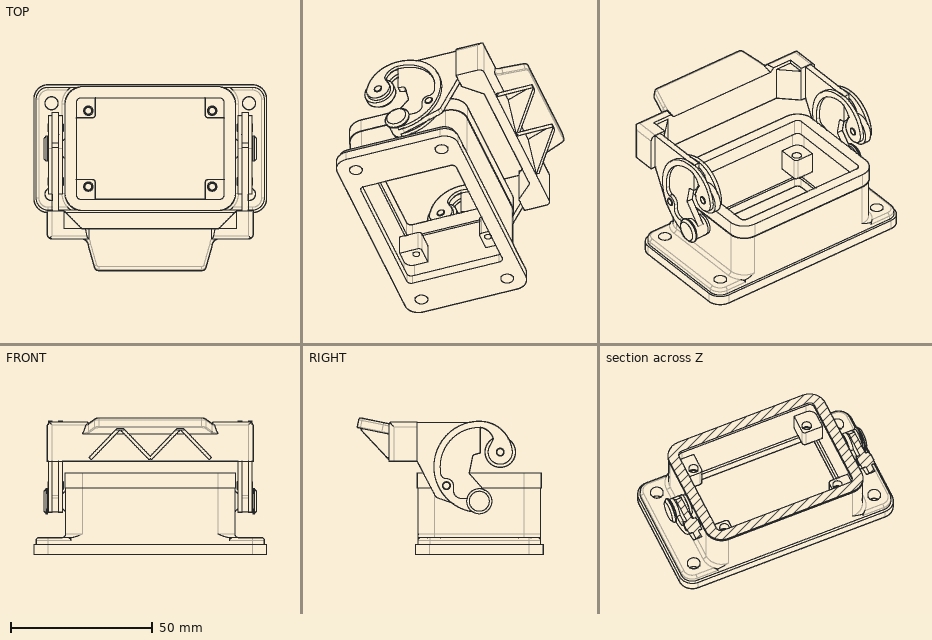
import cadquery as cq
import math

PLATE_LENGTH = 82.5
PLATE_WIDTH = 45.4
PLATE_HEIGHT = 3.6
PLATE_CORNER = 5.0

FLANGE_INSET = 0.8
FLANGE_TOP = 6.0
FLANGE_ROUND = 1.0

BODY_LENGTH = 60.1
BODY_WIDTH = 43.5
BODY_CORNER = 5.9
BODY_FOOT_RADIUS = 1.2
LIP_GROWTH = 0.25
LIP_BOTTOM = 23.5
LIP_TOP = 28.95

OPENING_LENGTH = 52.3
OPENING_WIDTH = 36.0
OPENING_CORNER = 1.65
FLOOR_OPENING_INSET = 0.1
CAVITY_UNDERCUT = 0.8
CAVITY_CORNER = 2.9
CAVITY_TOP = 23.2

POST_TOP = 17.6
POST_HEIGHT = 8.0
POST_INNER_X = 19.5
POST_INNER_Y = 10.9
POST_ROUND = 1.1
POST_HOLE_X = 21.95
POST_HOLE_Y = 13.45
POST_HOLE_DIAMETER = 2.4
POST_BORE_DIAMETER = 3.3
POST_BORE_DEPTH = 3.3

MOUNT_HOLE_X = 35.0
MOUNT_HOLE_Y = 16.1
MOUNT_HOLE_DIAMETER = 4.5

HOOK_INNER_X = 31.0
WEB_INNER_X = 32.4
WEB_OUTER_X = 34.7
WEB_TOP = 46.9
HOOK_OUTER_X = 36.05
PIN_STICK_OUT = 0.25

PIVOT = (0.0, 18.9)
PIVOT_END_RADIUS = 3.9
PIVOT_BOSS_RADIUS = 3.7
PIVOT_NECK_RADIUS = 2.7
PIVOT_HEAD_RADIUS = 4.45
PIVOT_HEAD_FACE_RADIUS = 3.55
PIVOT_HEAD_GAP = 0.4
PIVOT_HEAD_RIM = 0.4
PIVOT_HEAD_BEVEL = 0.8

KNOB = (7.4, 36.3)
KNOB_RADIUS = 4.3
ROLLER_RADIUS = 5.45
LOWER_PIN = (-11.6, 24.4)
LOWER_PIN_BOSS_RADIUS = 2.5
PIN_RADIUS = 1.4
PIN_CHAMFER = 0.21

ARC_CENTER = (0.1, 31.1)
ARC_OUTER_RADIUS = 16.2
ARC_INNER_RADIUS = 13.95
CROWN_RADIUS = 11.6

BRACKET_TOP = 47.0
BRACKET_BOTTOM = 33.0
BRACKET_HALF_LENGTH = 36.55
BRACKET_ARM_INNER_X = 30.5
BRACKET_BACK_Y = -22.0
BAR_BACK_Y = -28.3
BAR_FRONT_Y = -32.0
BRACKET_SIDE_ROUND = 1.8
BRACKET_FRONT_ROUND = 1.1
GUSSET_DROP = 1.3

GRIP_TILT = 11.6
GRIP_BACK_Z = 45.6
GRIP_THICKNESS = 3.6
GRIP_REACH = 14.6
GRIP_ROOT_HALF = 21.95
GRIP_TIP_HALF = 19.5
GRIP_FLARE = 2.6
GRIP_TIP_CORNER = 1.65
GRIP_TOP_ROUND = 0.8
GRIP_BOTTOM_ROUND = 0.3
TRENCH_FLOOR_HALF = 21.6
TRENCH_DEPTH = 2.5
TRENCH_SPREAD = 2.5

RIB_THICKNESS = 1.15
RIB_LOW_Z = 34.0
RIB_HIGH_Z = 45.05
RIB_PITCH = 10.65
RIB_OVERLAP = 0.8
RIB_FOOT_Z = 33.6
RIB_TIP_Y = -41.9
RIB_TIP_Z = 44.1

SIDES = (-1, 1)


def rounded_block(length, width, corner, bottom, top):
    """Upright block centred on Z with rounded vertical edges."""
    block = cq.Workplane("XY").workplane(offset=bottom).rect(length, width).extrude(top - bottom)
    return block.edges("|Z").fillet(corner)


def side_plate(x_start, x_end):
    """Sketch plane with local axes (Y, Z) at x_start, and the thickness up to x_end."""
    return cq.Workplane("YZ", origin=(x_start, 0, 0)), x_end - x_start


def side_disc(center, radius, x_start, x_end):
    plane, thickness = side_plate(x_start, x_end)
    return plane.center(*center).circle(radius).extrude(thickness)


def side_cone(center, x_start, start_radius, x_end, end_radius):
    """Cone frustum with its axis along X."""
    profile = cq.Workplane("XY").polyline(
        [(x_start, 0), (x_start, start_radius), (x_end, end_radius), (x_end, 0)]
    ).close()
    cone = profile.revolve(360, (0, 0, 0), (1, 0, 0))
    return cone.translate((0, center[0], center[1]))


def polar(center, radius, degrees):
    angle = math.radians(degrees)
    return (center[0] + radius * math.cos(angle), center[1] + radius * math.sin(angle))


def tangent_point(point, center, radius, turn):
    """Where the line from point touches the circle; turn (+1 or -1) picks the side."""
    dy = point[0] - center[0]
    dz = point[1] - center[1]
    swing = math.acos(radius / math.hypot(dy, dz))
    return polar(center, radius, math.degrees(math.atan2(dz, dy) + turn * swing))


def make_base():
    plate = rounded_block(PLATE_LENGTH, PLATE_WIDTH, PLATE_CORNER, 0, PLATE_HEIGHT)
    flange = rounded_block(
        PLATE_LENGTH - 2 * FLANGE_INSET, BODY_WIDTH, PLATE_CORNER - FLANGE_INSET, PLATE_HEIGHT, FLANGE_TOP
    )
    flange = flange.faces(">Z").edges().fillet(FLANGE_ROUND)
    body = rounded_block(BODY_LENGTH, BODY_WIDTH, BODY_CORNER, PLATE_HEIGHT, LIP_BOTTOM)
    lip_length = BODY_LENGTH + 2 * LIP_GROWTH
    lip_width = BODY_WIDTH + 2 * LIP_GROWTH
    lip = rounded_block(lip_length, lip_width, BODY_CORNER + LIP_GROWTH, LIP_BOTTOM, LIP_TOP)
    return plate.union(flange).union(body).union(lip).union(make_body_foot())


def make_body_foot():
    """Hollow fillet around the body where it stands on the flange, cut flush with the long sides."""
    radius = BODY_FOOT_RADIUS
    length = BODY_LENGTH + 2 * radius
    width = BODY_WIDTH + 2 * radius
    corner = BODY_CORNER + radius
    slab = rounded_block(length, width, corner, PLATE_HEIGHT, FLANGE_TOP + radius)
    path = slab.faces(">Z").wires().val()
    start = path.positionAt(0)
    tube = (
        cq.Workplane(cq.Plane(origin=start, normal=path.tangentAt(0)))
        .circle(radius)
        .sweep(cq.Workplane(obj=path))
    )
    flush = cq.Workplane("XY").box(length, BODY_WIDTH, 2 * LIP_TOP)
    return slab.cut(tube).intersect(flush)


def hollow_out(base):
    lip_opening = rounded_block(OPENING_LENGTH, OPENING_WIDTH, OPENING_CORNER, CAVITY_TOP, LIP_TOP)
    cavity_length = OPENING_LENGTH + 2 * CAVITY_UNDERCUT
    cavity_width = OPENING_WIDTH + 2 * CAVITY_UNDERCUT
    cavity = rounded_block(cavity_length, cavity_width, CAVITY_CORNER, PLATE_HEIGHT, CAVITY_TOP)
    floor_opening = rounded_block(
        OPENING_LENGTH - 2 * FLOOR_OPENING_INSET, OPENING_WIDTH - 2 * FLOOR_OPENING_INSET,
        OPENING_CORNER, 0, PLATE_HEIGHT,
    )
    hollow = base.cut(lip_opening).cut(cavity).cut(floor_opening)
    return hollow.union(make_posts(cavity_length, cavity_width).intersect(cavity))


def make_posts(cavity_length, cavity_width):
    """Four screw posts that hang in the cavity corners."""
    outer_x = cavity_length / 2
    outer_y = cavity_width / 2
    post = (
        cq.Workplane("XY", origin=(0, 0, POST_TOP - POST_HEIGHT))
        .moveTo((POST_INNER_X + outer_x) / 2, (POST_INNER_Y + outer_y) / 2)
        .rect(outer_x - POST_INNER_X, outer_y - POST_INNER_Y)
        .extrude(POST_HEIGHT)
        .edges("|Z and <X and <Y")
        .fillet(POST_ROUND)
    )
    post = (
        post.faces(">Z").workplane(origin=(POST_HOLE_X, POST_HOLE_Y, POST_TOP))
        .cboreHole(POST_HOLE_DIAMETER, POST_BORE_DIAMETER, POST_BORE_DEPTH)
    )
    pair = post.union(post.mirror("YZ"))
    return pair.union(pair.mirror("XZ"))


def cut_mount_holes(base):
    centers = [(x * MOUNT_HOLE_X, y * MOUNT_HOLE_Y) for x in SIDES for y in SIDES]
    holes = cq.Workplane("XY").pushPoints(centers).circle(MOUNT_HOLE_DIAMETER / 2).extrude(FLANGE_TOP)
    return base.cut(holes)


def make_web():
    """Middle plate of the lever, from the pivot up to the bracket."""
    top_back = (0.3, WEB_TOP)
    notch_back = (0.4, 36.0)
    notch_front = (-2.2, 35.2)
    waist = (-3.55, 28.7)
    toe = (-15.35, 20.3)
    toe_round = 1.65
    notch_round = 0.8
    back_touch = tangent_point(waist, PIVOT, PIVOT_END_RADIUS, -1)
    front_touch = tangent_point(toe, PIVOT, PIVOT_END_RADIUS, 1)
    plane, thickness = side_plate(WEB_INNER_X, WEB_OUTER_X)
    plate = plane.polyline([
        top_back, notch_back, notch_front, waist, back_touch, PIVOT, front_touch, toe,
        (BRACKET_BACK_Y, BRACKET_BOTTOM), (BRACKET_BACK_Y, WEB_TOP),
    ]).close().extrude(thickness)
    for corner, radius in ((toe, toe_round), (notch_front, notch_round)):
        middle = ((WEB_INNER_X + WEB_OUTER_X) / 2, corner[0], corner[1])
        plate = plate.edges(cq.selectors.NearestToPointSelector(middle)).fillet(radius)
    return plate.union(side_disc(PIVOT, PIVOT_END_RADIUS, WEB_INNER_X, WEB_OUTER_X))


def make_hook(x_start, x_end):
    """Curved hook plate, from the pivot around the big arc to the knob."""
    crown_center = (ARC_CENTER[0], ARC_CENTER[1] + ARC_OUTER_RADIUS - CROWN_RADIUS)
    knob_touch_angle = math.degrees(math.atan2(KNOB[1] - crown_center[1], KNOB[0] - crown_center[0]))
    knob_neck = polar(KNOB, KNOB_RADIUS, 147)
    neck = (4.95, 40.9)
    mouth_middle = (3.2, 43.7)
    boss = LOWER_PIN_BOSS_RADIUS
    pocket_radius = 2.8
    pocket_bottom = 19.9
    pocket_center = (LOWER_PIN[0] + boss + pocket_radius, pocket_bottom + pocket_radius)
    boss_top = polar(LOWER_PIN, boss, 100)
    shoulder_middle = (-13.3, 27.7)
    plane, thickness = side_plate(x_start, x_end)
    arm = (
        plane.moveTo(*polar(ARC_CENTER, ARC_OUTER_RADIUS, 270))
        .threePointArc(polar(ARC_CENTER, ARC_OUTER_RADIUS, 180), polar(ARC_CENTER, ARC_OUTER_RADIUS, 90))
        .threePointArc(
            polar(crown_center, CROWN_RADIUS, 45), polar(crown_center, CROWN_RADIUS, knob_touch_angle)
        )
        .lineTo(*KNOB)
        .lineTo(*knob_neck)
        .lineTo(*neck)
        .threePointArc(mouth_middle, polar(ARC_CENTER, ARC_INNER_RADIUS, 90))
        .threePointArc(polar(ARC_CENTER, ARC_INNER_RADIUS, 140), polar(ARC_CENTER, ARC_INNER_RADIUS, 187))
        .threePointArc(shoulder_middle, boss_top)
        .threePointArc(polar(LOWER_PIN, boss, 45), polar(LOWER_PIN, boss, 0))
        .lineTo(LOWER_PIN[0] + boss, pocket_center[1])
        .threePointArc(polar(pocket_center, pocket_radius, 225), polar(pocket_center, pocket_radius, 270))
        .lineTo(PIVOT[0], pocket_bottom)
        .close()
        .extrude(thickness)
    )
    pivot_end = side_disc(PIVOT, PIVOT_END_RADIUS, x_start, x_end)
    knob = side_disc(KNOB, KNOB_RADIUS, x_start, x_end)
    return arm.union(pivot_end).union(knob)


def make_pin(center):
    """Rivet through both hook plates, with chamfered ends that stand slightly proud."""
    pin = side_disc(center, PIN_RADIUS, HOOK_INNER_X - PIN_STICK_OUT, HOOK_OUTER_X + PIN_STICK_OUT)
    return pin.faces("<X or >X").chamfer(PIN_CHAMFER)


def make_pivot():
    """Boss on the body side and the bevelled head outside the lever."""
    wall_x = BODY_LENGTH / 2
    boss = side_cone(PIVOT, wall_x, PIVOT_BOSS_RADIUS, HOOK_INNER_X, PIVOT_NECK_RADIUS)
    head_x = HOOK_OUTER_X + PIVOT_HEAD_GAP
    bevel_x = head_x + PIVOT_HEAD_RIM
    collar = side_disc(PIVOT, PIVOT_NECK_RADIUS, HOOK_OUTER_X, head_x)
    rim = side_disc(PIVOT, PIVOT_HEAD_RADIUS, head_x, bevel_x)
    bevel = side_cone(PIVOT, bevel_x, PIVOT_HEAD_RADIUS, bevel_x + PIVOT_HEAD_BEVEL, PIVOT_HEAD_FACE_RADIUS)
    return boss.union(collar.union(rim).union(bevel))


def make_lever():
    lever = make_web()
    lever = lever.union(make_hook(HOOK_INNER_X, WEB_INNER_X))
    lever = lever.union(make_hook(WEB_OUTER_X, HOOK_OUTER_X))
    lever = lever.union(side_disc(KNOB, ROLLER_RADIUS, WEB_INNER_X, WEB_OUTER_X))
    lever = lever.union(make_pin(KNOB)).union(make_pin(LOWER_PIN))
    return lever.union(make_pivot())


def make_bracket():
    """U-shaped bar with short arms and a low gusset in each inner corner."""
    height = BRACKET_TOP - BRACKET_BOTTOM
    block = (
        cq.Workplane("XY", origin=(0, 0, BRACKET_BOTTOM))
        .moveTo(0, (BRACKET_BACK_Y + BAR_FRONT_Y) / 2)
        .rect(2 * BRACKET_HALF_LENGTH, BRACKET_BACK_Y - BAR_FRONT_Y)
        .extrude(height)
    )
    rounded_corners = block.edges("|Z and <Y").fillet(BRACKET_SIDE_ROUND)
    rounded_sides = block.edges("|Y and >Z").fillet(BRACKET_SIDE_ROUND)
    rounded_front = block.edges("|X and >Z and <Y").fillet(BRACKET_FRONT_ROUND)
    outer = rounded_corners.intersect(rounded_sides).intersect(rounded_front)
    gap_depth = BRACKET_BACK_Y - BAR_BACK_Y
    gap = (
        cq.Workplane("XY", origin=(0, 0, BRACKET_BOTTOM))
        .moveTo(0, (BRACKET_BACK_Y + BAR_BACK_Y) / 2)
        .rect(2 * BRACKET_ARM_INNER_X, gap_depth)
        .extrude(height)
    )
    bracket = outer.cut(gap)
    for side in SIDES:
        gusset = (
            cq.Workplane("XY", origin=(0, 0, BRACKET_BOTTOM))
            .polyline([
                (side * BRACKET_ARM_INNER_X, BRACKET_BACK_Y),
                (side * BRACKET_ARM_INNER_X, BAR_BACK_Y),
                (side * (BRACKET_ARM_INNER_X - gap_depth), BAR_BACK_Y),
            ])
            .close()
            .extrude(height - GUSSET_DROP)
        )
        bracket = bracket.union(gusset)
    return bracket


def add_grip(bracket):
    tilt = math.radians(GRIP_TILT)
    origin = (0, BAR_BACK_Y, GRIP_BACK_Z)
    outward = (0, -math.cos(tilt), math.sin(tilt))
    upward = (0, math.sin(tilt), math.cos(tilt))
    bar_depth = (BAR_BACK_Y - BAR_FRONT_Y) / math.cos(tilt)

    trench_top_half = TRENCH_FLOOR_HALF + TRENCH_SPREAD
    trench = (
        cq.Workplane(cq.Plane(origin=origin, xDir=(1, 0, 0), normal=outward))
        .polyline([
            (-TRENCH_FLOOR_HALF, 0), (TRENCH_FLOOR_HALF, 0),
            (trench_top_half, TRENCH_DEPTH), (-trench_top_half, TRENCH_DEPTH),
        ])
        .close()
        .extrude(2 * bar_depth)
    )

    root = GRIP_ROOT_HALF
    flare_start = bar_depth - GRIP_THICKNESS * math.tan(tilt)
    flare_end = flare_start + GRIP_FLARE
    flare_middle = (root + GRIP_FLARE * (1 - math.sqrt(0.5)), flare_end - GRIP_FLARE * math.sqrt(0.5))
    grip = (
        cq.Workplane(cq.Plane(origin=origin, xDir=(-1, 0, 0), normal=upward))
        .moveTo(-root - GRIP_FLARE, 0)
        .lineTo(root + GRIP_FLARE, 0)
        .lineTo(root + GRIP_FLARE, flare_start)
        .threePointArc(flare_middle, (root, flare_end))
        .lineTo(GRIP_TIP_HALF, GRIP_REACH)
        .lineTo(-GRIP_TIP_HALF, GRIP_REACH)
        .lineTo(-root, flare_end)
        .threePointArc((-flare_middle[0], flare_middle[1]), (-root - GRIP_FLARE, flare_start))
        .close()
        .extrude(-GRIP_THICKNESS)
    )
    tip_y = BAR_BACK_Y - GRIP_REACH * math.cos(tilt)
    for side in SIDES:
        corner = (side * GRIP_TIP_HALF, tip_y, GRIP_BACK_Z + GRIP_REACH * math.sin(tilt) - GRIP_THICKNESS / 2)
        grip = grip.edges(cq.selectors.NearestToPointSelector(corner)).fillet(GRIP_TIP_CORNER)
    past_bar = cq.selectors.BoxSelector(
        (-PLATE_LENGTH, BAR_FRONT_Y, 0), (PLATE_LENGTH, -PLATE_LENGTH, PLATE_LENGTH)
    )
    top_face = cq.selectors.DirectionMinMaxSelector(cq.Vector(*upward), True)
    bottom_face = cq.selectors.DirectionMinMaxSelector(cq.Vector(*upward), False)
    grip = grip.faces(top_face).edges(past_bar).fillet(GRIP_TOP_ROUND)
    grip = grip.faces(bottom_face).edges(past_bar).fillet(GRIP_BOTTOM_ROUND)
    return bracket.cut(trench).union(grip).union(make_ribs())


def make_ribs():
    """Zigzag of four ribs, trimmed to a sloping front edge."""
    rise = RIB_HIGH_Z - RIB_LOW_Z
    run_length = math.hypot(RIB_PITCH, rise)
    slope = math.degrees(math.atan2(rise, RIB_PITCH))
    reach = 2 * (BAR_BACK_Y - RIB_TIP_Y)
    wedge_plane, wedge_length = side_plate(-PLATE_LENGTH / 2, PLATE_LENGTH / 2)
    wedge = wedge_plane.polyline([
        (BAR_FRONT_Y, RIB_FOOT_Z), (RIB_TIP_Y, RIB_TIP_Z), (RIB_TIP_Y, RIB_HIGH_Z),
        (BAR_BACK_Y, RIB_HIGH_Z), (BAR_BACK_Y, RIB_FOOT_Z),
    ]).close().extrude(wedge_length)
    ribs = cq.Workplane("XY")
    for foot_pitches, direction in ((-2, 1), (0, -1), (0, 1), (2, -1)):
        angle = slope if direction > 0 else 180 - slope
        rib = (
            cq.Workplane("XY")
            .box(run_length + RIB_OVERLAP, reach, RIB_THICKNESS, centered=(False, True, True))
            .rotate((0, 0, 0), (0, 1, 0), -angle)
            .translate((foot_pitches * RIB_PITCH, BAR_BACK_Y, RIB_LOW_Z))
        )
        ribs = ribs.union(rib)
    return ribs.intersect(wedge)


lever = make_lever()
result = cut_mount_holes(hollow_out(make_base()))
result = result.union(lever).union(lever.mirror("YZ"))
result = result.union(add_grip(make_bracket()))